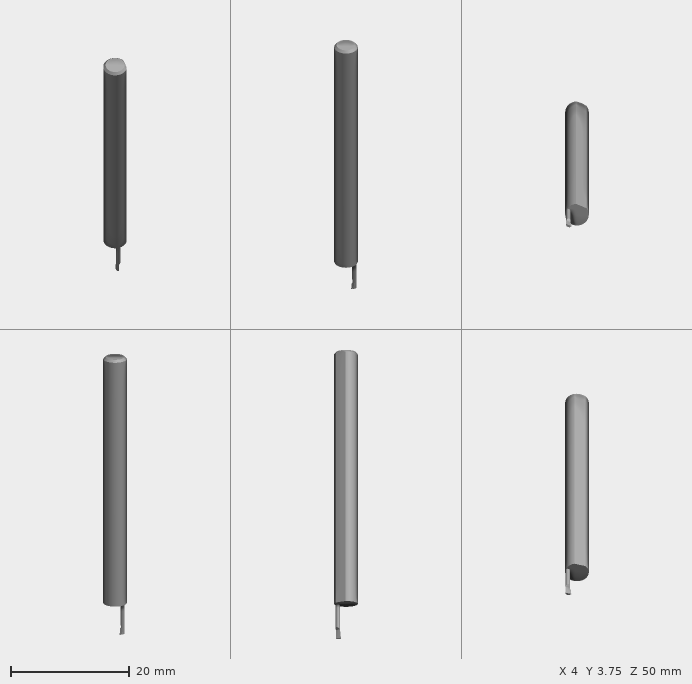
import cadquery as cq

total_length = 50.0
neck_length = 6.0

shank_diameter = 4.0
shank_radius = shank_diameter / 2
flat_offset = 1.75
chamfer_width = 0.4
chamfer_height = 0.4

neck_diameter = 0.75
neck_radius = neck_diameter / 2
neck_x = shank_radius - neck_radius
neck_end_z = 0.15

rake_y = 0.0
rake_run_out_z = 1.7
rake_slope_height = neck_radius

head_top_z = 1.3
head_top_x = 1.12
tip_x = 0.99
head_root_x = 1.7
head_back_y = -neck_radius
flank_relief = 0.22

tip_land = 0.02


def make_shank():
    """Round shank with a lengthwise flat on +Y and a chamfered top end."""
    shank = (
        cq.Workplane("XY")
        .workplane(offset=neck_length)
        .circle(shank_radius)
        .extrude(total_length - neck_length)
    )
    shank = shank.faces(">Z").edges().chamfer(chamfer_height, chamfer_width)
    flat_cutter = cq.Workplane("XY").box(
        shank_diameter,
        shank_diameter,
        total_length,
        centered=(True, False, False),
    )
    return shank.cut(flat_cutter.translate((0, flat_offset, 0)))


def make_neck():
    """Round neck whose +Y half is cut away near the tip, leaving the rake face."""
    neck = (
        cq.Workplane("XY")
        .workplane(offset=neck_end_z)
        .center(neck_x, 0)
        .circle(neck_radius)
        .extrude(neck_length - neck_end_z)
    )
    rake_cutter = (
        cq.Workplane("YZ")
        .polyline([
            (rake_y, 0),
            (rake_y, rake_run_out_z),
            (rake_y + neck_radius, rake_run_out_z + rake_slope_height),
            (rake_y + neck_radius, 0),
        ])
        .close()
        .extrude(shank_diameter)
    )
    return neck.cut(rake_cutter)


def head_section(flank_x):
    """Corner points of a level slice of the head whose rake edge starts at flank_x."""
    return [
        (flank_x, rake_y),
        (flank_x + flank_relief, head_back_y),
        (head_root_x, head_back_y),
        (head_root_x, rake_y),
    ]


def make_head():
    """Head that widens downward to a cutting point just below the neck end."""
    head = (
        cq.Workplane("XY")
        .polyline(head_section(tip_x))
        .close()
        .workplane(offset=head_top_z)
        .polyline(head_section(head_top_x))
        .close()
        .loft(ruled=True)
    )
    return head.cut(make_end_relief())


def make_end_relief():
    """Wedge-shaped cutters that leave only the tip corner at the lowest level."""
    side_relief = (
        cq.Workplane("XZ")
        .polyline([
            (tip_x + tip_land, 0),
            (tip_x + tip_land + neck_end_z, neck_end_z),
            (shank_radius, neck_end_z),
            (shank_radius, 0),
        ])
        .close()
        .extrude(shank_radius)
    )
    back_relief = (
        cq.Workplane("YZ")
        .polyline([
            (rake_y, 0),
            (rake_y - neck_end_z, neck_end_z),
            (head_back_y, neck_end_z),
            (head_back_y, 0),
        ])
        .close()
        .extrude(shank_radius)
    )
    return side_relief.union(back_relief)


result = make_shank().union(make_neck()).union(make_head())